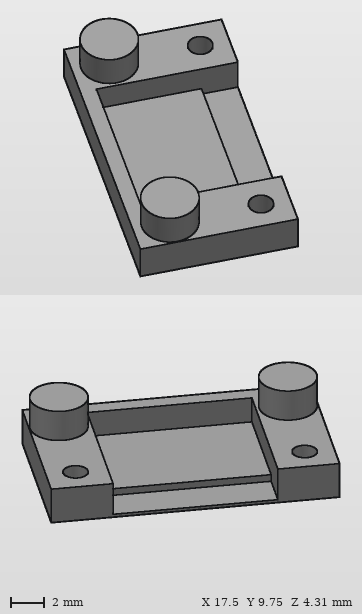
import cadquery as cq

length = 17.5
width = 9.75
base_height = 2.31

pin_diameter = 3.5
pin_height = 2.0
hole_diameter = 1.5
side_inset = 1.8
pin_front_inset = 2.31
hole_back_inset = 1.8

pocket_length = 10.0
front_wall = 1.0
pocket_depth = 1.65
ledge_width = 2.25
ledge_depth = 2.1

column_positions = (side_inset, length - side_inset)


def make_recess(front_y, depth):
    """Block that cuts a centred recess from front_y through the back edge."""
    return cq.Workplane("XY").box(
        pocket_length, width - front_y, depth, centered=False
    ).translate(((length - pocket_length) / 2, front_y, base_height - depth))


def make_cylinders(diameter, y, bottom_z, height):
    """Pair of upright cylinders, one on each side of the part."""
    return (
        cq.Workplane("XY", origin=(0, 0, bottom_z))
        .pushPoints([(x, y) for x in column_positions])
        .circle(diameter / 2)
        .extrude(height)
    )


base = cq.Workplane("XY").box(length, width, base_height, centered=False)
pocket = make_recess(front_wall, pocket_depth)
ledge = make_recess(width - ledge_width, ledge_depth)
holes = make_cylinders(hole_diameter, width - hole_back_inset, 0, base_height)
pins = make_cylinders(pin_diameter, pin_front_inset, base_height, pin_height)

result = base.cut(pocket).cut(ledge).cut(holes).union(pins)